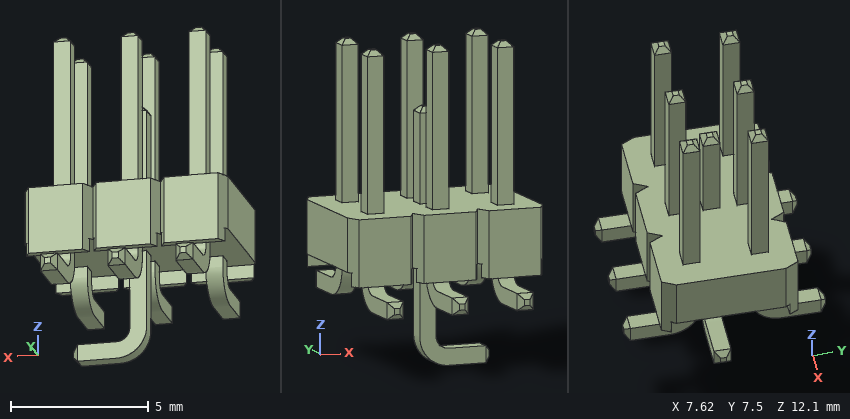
import cadquery as cq


columns = 3
housing_length = 7.62
pitch = housing_length / columns
housing_width = 2 * pitch
housing_height = 2.52
notch_depth = 0.51
notch_half_width = 0.25
rim_thickness = 0.34
channel_depth = 0.51

pin_side = 0.64
tip_chamfer = 0.2
bend_inner_radius = 0.5

contact_span = 7.5
contact_height_above_housing = 6.02
contact_top = housing_height + contact_height_above_housing
contact_bottom = -1.05

overall_height = 12.07
locator_drop = 2.46
locator_top = contact_top - locator_drop
locator_bottom = contact_top - overall_height
locator_reach = 2.47

column_positions = [(i - (columns - 1) / 2) * pitch for i in range(columns)]
row_position = pitch / 2


def make_bent_pin(top, bottom, reach):
    """Square pin centred on the Z axis whose foot bends towards +X and ends at x = reach."""
    half_side = pin_side / 2
    bend_radius = bend_inner_radius + half_side
    foot_height = bottom + half_side
    path = (
        cq.Workplane("XZ")
        .moveTo(0, top)
        .lineTo(0, foot_height + bend_radius)
        .radiusArc((bend_radius, foot_height), -bend_radius)
        .lineTo(reach, foot_height)
    )
    pin = cq.Workplane("XY", origin=(0, 0, top)).rect(pin_side, pin_side).sweep(path)
    pin = pin.faces(">Z").chamfer(tip_chamfer)
    return pin.faces(">X").chamfer(tip_chamfer)


def make_contact_pins():
    """One contact pin per column and row, with the feet pointing away from the centre line."""
    pin = make_bent_pin(contact_top, contact_bottom, contact_span / 2 - row_position)
    pins = []
    for x in column_positions:
        for side in (-1, 1):
            turned_pin = pin.rotate((0, 0, 0), (0, 0, 1), side * 90)
            pins.append(turned_pin.translate((x, side * row_position, 0)))
    return pins


def make_housing(pins):
    """Block with V-notches between columns, a channel underneath and a hole for each pin."""
    block = cq.Workplane("XY").box(
        housing_length, housing_width, housing_height, centered=(True, True, False)
    )

    for i in range(columns + 1):
        x = i * pitch - housing_length / 2
        for side in (-1, 1):
            face_y = side * housing_width / 2
            notch = (
                cq.Workplane("XY")
                .polyline([
                    (x - notch_half_width, face_y),
                    (x + notch_half_width, face_y),
                    (x, face_y - side * notch_depth),
                ])
                .close()
                .extrude(housing_height)
            )
            block = block.cut(notch)

    channel = cq.Workplane("XY").box(
        housing_length, housing_width - 2 * rim_thickness, channel_depth, centered=(True, True, False)
    )
    block = block.cut(channel)

    for pin in pins:
        block = block.cut(pin)
    return block


contact_pins = make_contact_pins()
locating_pin = make_bent_pin(locator_top, locator_bottom, locator_reach)
housing = make_housing([*contact_pins, locating_pin])

result = cq.Compound.makeCompound(
    [housing.val(), locating_pin.val(), *[pin.val() for pin in contact_pins]]
)